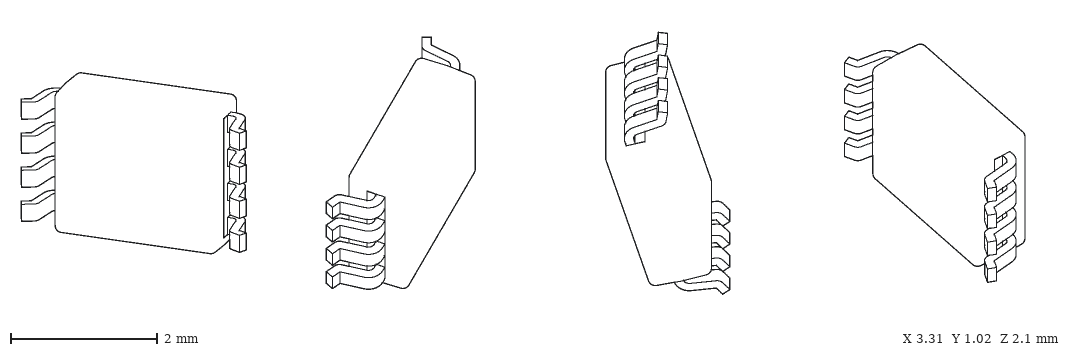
import cadquery as cq
import math


body_width = 2.4
body_height = 2.1
body_thickness = 0.897
draft_angle = 1.4
edge_radius = 0.1

part_depth = 1.02
lead_span = 3.31
lead_count = 4
lead_pitch = 0.5
lead_width = 0.25
lead_thickness = 0.13
inner_bend_radius = 0.085
outer_bend_radius = inner_bend_radius + lead_thickness
bend_start = 1.268
heel_radius = 0.1
leg_angle = math.radians(8)
foot_angle = math.radians(24)

web_depth = 0.268
web_projection = 0.003

root_x = body_width / 2 - edge_radius
row_length = (lead_count - 1) * lead_pitch + lead_width


def polar(centre, radius, angle):
    """Point at a radius and an angle in radians from a centre in the XY plane."""
    return (centre[0] + radius * math.cos(angle), centre[1] + radius * math.sin(angle))


def make_body():
    """Two mirrored drafted halves, rounded everywhere except along the parting line."""
    parting_plane = cq.Plane(origin=(0, 0, 0), xDir=(1, 0, 0), normal=(0, 1, 0))
    half = (
        cq.Workplane(parting_plane)
        .rect(body_width, body_height)
        .extrude(body_thickness / 2, taper=draft_angle)
        .edges("not <Y")
        .fillet(edge_radius)
    )
    return half.union(half.mirror("XZ"))


def find_ankle(leg_top, toe_top):
    """Sharp corner where the upper faces of the leg and the foot meet."""
    leg_slope = math.tan(leg_angle)
    foot_slope = math.tan(foot_angle)
    height = leg_top[1] - toe_top[1]
    reach = toe_top[0] - leg_top[0]
    drop = (height - foot_slope * reach) / (1 - foot_slope * leg_slope)
    return (leg_top[0] + drop * leg_slope, leg_top[1] - drop)


def make_lead(z_middle):
    """One gull-wing lead on the +X side, its flat part lying on the parting plane."""
    shoulder = (bend_start, -inner_bend_radius)
    shoulder_middle = (math.pi / 2 + leg_angle) / 2
    leg_top = polar(shoulder, outer_bend_radius, leg_angle)

    through_leg = leg_angle - math.pi
    through_foot = -math.pi / 2 - foot_angle

    toe_bottom_y = body_thickness / 2 - part_depth
    toe_top = (lead_span / 2, toe_bottom_y + lead_thickness * math.cos(foot_angle))
    ankle = find_ankle(leg_top, toe_top)

    heel_middle = (through_foot + through_leg) / 2
    heel_offset = (lead_thickness - heel_radius) / math.cos((through_foot - through_leg) / 2)
    heel = polar(ankle, heel_offset, heel_middle)

    return (
        cq.Workplane("XY", origin=(0, 0, z_middle - lead_width / 2))
        .moveTo(root_x, 0)
        .lineTo(root_x, lead_thickness)
        .lineTo(bend_start, lead_thickness)
        .threePointArc(polar(shoulder, outer_bend_radius, shoulder_middle), leg_top)
        .lineTo(*ankle)
        .lineTo(*toe_top)
        .lineTo(*polar(toe_top, lead_thickness, through_foot))
        .lineTo(*polar(heel, heel_radius, through_foot))
        .threePointArc(polar(heel, heel_radius, heel_middle), polar(heel, heel_radius, through_leg))
        .lineTo(*polar(shoulder, inner_bend_radius, leg_angle))
        .threePointArc(polar(shoulder, inner_bend_radius, shoulder_middle), (bend_start, 0))
        .close()
        .extrude(lead_width)
    )


def make_web():
    """Flat strip on the +X wall, level with the tops of the leads and spanning the row."""
    length = body_width / 2 + web_projection - root_x
    return cq.Workplane("XY").box(length, web_depth, row_length).translate(
        (root_x + length / 2, lead_thickness - web_depth / 2, 0)
    )


def make_lead_row():
    """All leads of the +X side with their web."""
    row = make_web()
    for index in range(lead_count):
        row = row.union(make_lead((index - (lead_count - 1) / 2) * lead_pitch))
    return row


lead_row = make_lead_row()
result = make_body().union(lead_row).union(lead_row.mirror("YZ"))